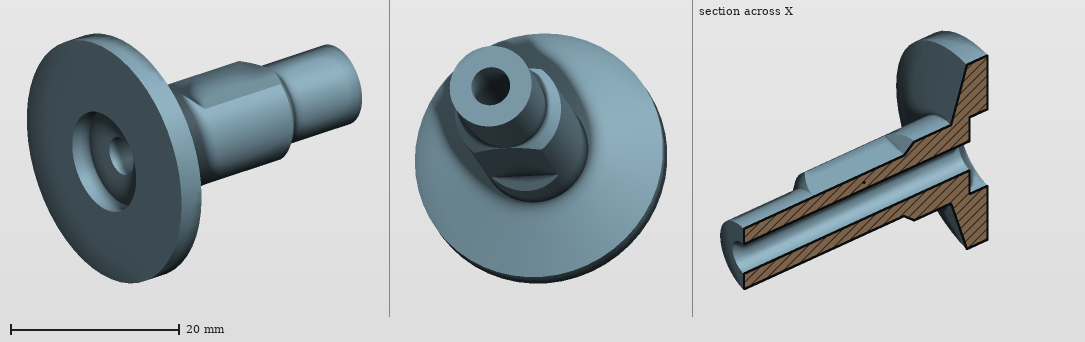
import cadquery as cq

total_length = 35.0
flange_diameter = 30.0
flange_thickness = 3.0
cone_end = 5.3
body_diameter = 12.8
stub_diameter = 9.9
stub_length = 10.08
bore_diameter = 4.7
recess_diameter = 12.4
recess_depth = 2.6
flat_start = 12.0

flange_radius = flange_diameter / 2
body_radius = body_diameter / 2
stub_radius = stub_diameter / 2
shoulder = body_radius - stub_radius
stub_start = total_length - stub_length


def turned_body():
    """Flange, cone, shaft and end stub revolved about the Y axis."""
    profile = [
        (0, 0),
        (flange_radius, 0),
        (flange_radius, flange_thickness),
        (body_radius, cone_end),
        (body_radius, stub_start - shoulder),
        (stub_radius, stub_start),
        (stub_radius, total_length),
        (0, total_length),
    ]
    return cq.Workplane("XY").polyline(profile).close().revolve(360, (0, 0, 0), (0, 1, 0))


def wrench_flat(side):
    """Cutter for one flat with a 45 degree run-out; side is +1 for the top, -1 for the bottom."""
    outline = [
        (flat_start, side * stub_radius),
        (stub_start, side * stub_radius),
        (stub_start, side * body_radius),
        (flat_start - shoulder, side * body_radius),
    ]
    return cq.Workplane("YZ").polyline(outline).close().extrude(body_radius, both=True)


def hole(diameter, depth):
    """Round cutter entering the flange face along +Y."""
    return cq.Workplane("XZ").circle(diameter / 2).extrude(-depth)


result = turned_body()
for side in (1, -1):
    result = result.cut(wrench_flat(side))
result = result.cut(hole(bore_diameter, total_length))
result = result.cut(hole(recess_diameter, recess_depth))